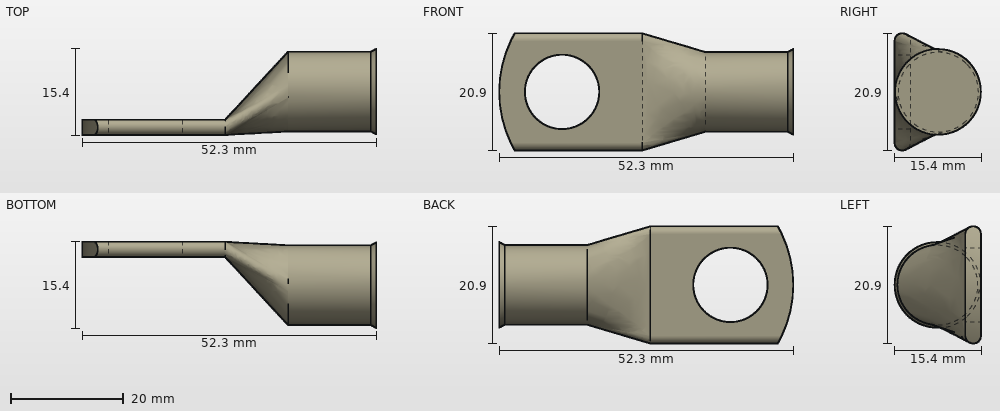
import cadquery as cq
import math


palm_width = 20.85
palm_thickness = 2.75
palm_end_radius = 20.9
palm_length = 25.4
hole_diameter = 13.15
hole_x = 11.2

total_length = 52.25
total_depth = 15.35
barrel_start = 36.6
barrel_radius = 7.1
rim_radius = 7.65
rim_length = 1.0
axis_y = total_depth - rim_radius
side_strip_half_height = 1.05

palm_edge_radius = palm_thickness / 2
flat_half_width = palm_width / 2 - palm_edge_radius


def closed_outline(x, corner_y, corner_z, centre_y, flat_bulge, side_reach):
    """Workplane wire at x: front and back stretches joined by arcs at the +Z and -Z sides.

    A flat_bulge of None makes the front and back stretches straight.
    """
    front_y = centre_y - corner_y
    back_y = centre_y + corner_y
    outline = cq.Workplane("YZ", origin=(x, 0, 0)).moveTo(front_y, -corner_z)
    if flat_bulge is None:
        outline = outline.lineTo(front_y, corner_z)
    else:
        outline = outline.threePointArc((centre_y - flat_bulge, 0), (front_y, corner_z))
    outline = outline.threePointArc((centre_y, side_reach), (back_y, corner_z))
    if flat_bulge is None:
        outline = outline.lineTo(back_y, -corner_z)
    else:
        outline = outline.threePointArc((centre_y + flat_bulge, 0), (back_y, -corner_z))
    return outline.threePointArc((centre_y, -side_reach), (front_y, -corner_z)).close()


def palm_outline(x):
    return closed_outline(
        x, palm_edge_radius, flat_half_width, palm_edge_radius, None, palm_width / 2
    )


def make_palm():
    """Plate with full-round long edges, an arched free end and a stud hole."""
    plate = palm_outline(0).extrude(palm_length)
    end_drop = palm_end_radius - math.sqrt(palm_end_radius**2 - (palm_width / 2) ** 2)
    end_shape = (
        cq.Workplane("XZ")
        .moveTo(end_drop, -palm_width / 2)
        .threePointArc((0, 0), (end_drop, palm_width / 2))
        .lineTo(palm_length, palm_width / 2)
        .lineTo(palm_length, -palm_width / 2)
        .close()
        .extrude(-palm_thickness)
    )
    hole = (
        cq.Workplane("XZ").center(hole_x, 0).circle(hole_diameter / 2).extrude(-palm_thickness)
    )
    return plate.intersect(end_shape).cut(hole)


def make_neck():
    """Ruled blend from the palm section to the barrel circle."""
    strip_corner_z = math.sqrt(barrel_radius**2 - side_strip_half_height**2)
    palm_end = palm_outline(palm_length).wire().val()
    barrel_end = closed_outline(
        barrel_start, side_strip_half_height, strip_corner_z, axis_y, barrel_radius, barrel_radius
    ).wire().val()
    return cq.Workplane(cq.Solid.makeLoft([palm_end, barrel_end], True))


def make_barrel():
    """Cylinder with a flared rim at its free end."""
    rim_start = total_length - rim_length
    return (
        cq.Workplane("XY")
        .moveTo(barrel_start, 0)
        .lineTo(barrel_start, barrel_radius)
        .lineTo(rim_start, barrel_radius)
        .lineTo(total_length, rim_radius)
        .lineTo(total_length, 0)
        .close()
        .revolve(360, (0, 0, 0), (1, 0, 0))
        .translate((0, axis_y, 0))
    )


result = make_palm().union(make_neck()).union(make_barrel())